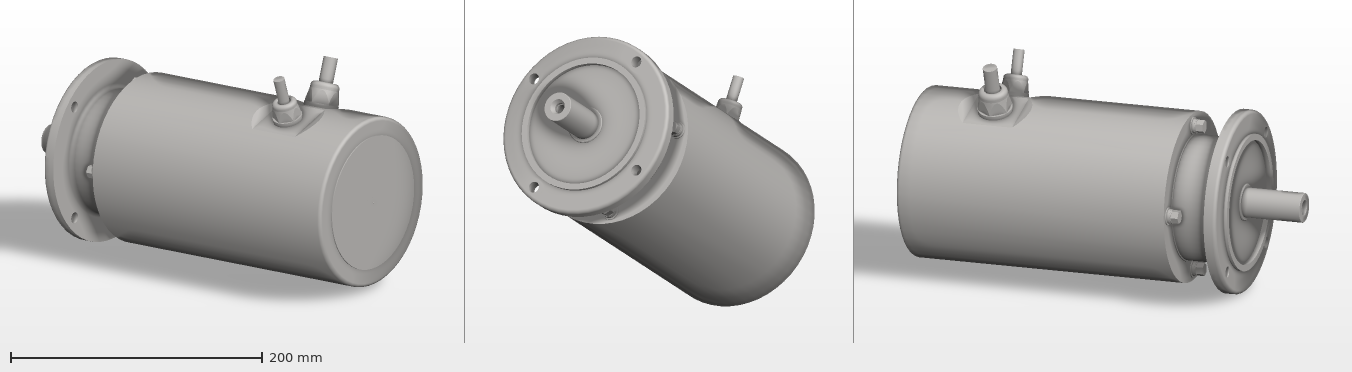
import cadquery as cq
import math


SHAFT_DIAMETER = 24.0
SHAFT_CHAMFER = 0.3
SHAFT_HOLE_DIAMETER = 7.0
SHAFT_HOLE_DEPTH = 19.5
DRILL_POINT_ANGLE = 118.0
COUNTERSINK_DIAMETER = 12.5
COUNTERSINK_ANGLE = 60.0
COUNTERBORE_DIAMETER = 8.5
COUNTERBORE_END = 6.5

SPIGOT_START = 46.0
SPIGOT_DIAMETER = 110.0
SPIGOT_RECESS_DIAMETER = 100.0
SPIGOT_RECESS_DEPTH = 4.2
COLLAR_DIAMETER = 30.0
COLLAR_HEIGHT = 1.3
COLLAR_CHAMFER = 0.5
FLANGE_START = 48.8
FLANGE_END = 58.8
FLANGE_DIAMETER = 148.0
FLANGE_EDGE_ROUND = 3.0
BOLT_HOLE_DIAMETER = 9.0
BOLT_CIRCLE_RADIUS = 64.5
BOLT_COUNT = 4

NECK_DIAMETER = 101.0
NECK_FILLET = 3.5

FRONT_RING_START = 93.5
FRONT_RING_DIAMETER = 103.5
HOUSING_START = 94.3
HOUSING_END = 321.0
HOUSING_DIAMETER = 138.0
HOUSING_REAR_ROUND = 3.0
REAR_PLATE_END = 322.0
REAR_PLATE_DIAMETER = 109.0
REAR_PIN_DIAMETER = 1.3
MOTOR_END = 323.0

SCREW_COUNT = 4
SCREW_CIRCLE_RADIUS = 59.0
SCREW_HEAD_START = 84.3
SCREW_HEAD_CORNERS = 11.0
SCREW_COLLAR_START = 90.0
SCREW_COLLAR_DIAMETER = 11.0
SCREW_FLANGE_START = 91.0
SCREW_FLANGE_DIAMETER = 11.5
WASHER_START = 93.5
WASHER_DIAMETER = 14.2

FLAT_CENTRE_X = 253.5
FLAT_TILT = 19.1
FLAT_SIZE = 42.0
FLAT_END_SLOPE = 20.0
CUTTER_CLEARANCE = 3.2

GLAND_BASE_HEIGHT = 3.5
GLAND_MOUTH_DEPTH = 3.2

housing_radius = HOUSING_DIAMETER / 2
flat_distance = math.sqrt(housing_radius**2 - (FLAT_SIZE / 2) ** 2)


def disc(start, end, diameter):
    """Cylinder on the X axis between two X positions."""
    return cq.Workplane("YZ", origin=(start, 0, 0)).circle(diameter / 2).extrude(end - start)


def around_axis(shape, count, first_angle=0.0):
    """Copies of a shape, evenly spaced about the X axis."""
    step = 360.0 / count
    return [shape.rotate((0, 0, 0), (1, 0, 0), first_angle + i * step) for i in range(count)]


def make_neck():
    """Neck whose front end flares out to the flange in a fillet."""
    radius = NECK_DIAMETER / 2
    round_inset = NECK_FILLET * (1 - math.sqrt(0.5))
    return (
        cq.Workplane("XY")
        .moveTo(FLANGE_END, 0)
        .lineTo(FLANGE_END, radius + NECK_FILLET)
        .threePointArc(
            (FLANGE_END + round_inset, radius + round_inset),
            (FLANGE_END + NECK_FILLET, radius),
        )
        .lineTo(HOUSING_START, radius)
        .lineTo(HOUSING_START, 0)
        .close()
        .revolve(360, (0, 0, 0), (1, 0, 0))
    )


def make_flange():
    """Flange with bolt holes, hollow spigot, raised collar around the shaft, and neck."""
    flange = disc(FLANGE_START, FLANGE_END, FLANGE_DIAMETER).faces("<X").edges().fillet(FLANGE_EDGE_ROUND)
    spigot = disc(SPIGOT_START, FLANGE_START, SPIGOT_DIAMETER)
    flange = flange.union(spigot).union(make_neck())
    recess_floor = SPIGOT_START + SPIGOT_RECESS_DEPTH
    flange = flange.cut(disc(SPIGOT_START, recess_floor, SPIGOT_RECESS_DIAMETER))
    collar = disc(recess_floor - COLLAR_HEIGHT, recess_floor, COLLAR_DIAMETER)
    flange = flange.union(collar.faces("<X").edges().chamfer(COLLAR_CHAMFER))
    bolt_hole = disc(FLANGE_START, FLANGE_END, BOLT_HOLE_DIAMETER).translate((0, 0, BOLT_CIRCLE_RADIUS))
    for hole in around_axis(bolt_hole, BOLT_COUNT, 180.0 / BOLT_COUNT):
        flange = flange.cut(hole)
    return flange


def make_shaft():
    """Drive shaft with a countersunk and counterbored centre hole."""
    shaft = disc(0, FLANGE_END, SHAFT_DIAMETER).faces("<X").edges().chamfer(SHAFT_CHAMFER)
    hole_radius = SHAFT_HOLE_DIAMETER / 2
    mouth_radius = COUNTERSINK_DIAMETER / 2
    bore_radius = COUNTERBORE_DIAMETER / 2
    countersink_depth = (mouth_radius - bore_radius) / math.tan(math.radians(COUNTERSINK_ANGLE / 2))
    point_depth = hole_radius / math.tan(math.radians(DRILL_POINT_ANGLE / 2))
    hole = (
        cq.Workplane("XY")
        .polyline([
            (0, 0),
            (0, mouth_radius),
            (countersink_depth, bore_radius),
            (COUNTERBORE_END, bore_radius),
            (COUNTERBORE_END, hole_radius),
            (SHAFT_HOLE_DEPTH, hole_radius),
            (SHAFT_HOLE_DEPTH + point_depth, 0),
        ])
        .close()
        .revolve(360, (0, 0, 0), (1, 0, 0))
    )
    return shaft.cut(hole)


def on_flat(shape, tilt):
    """Move a shape built upright on the XY plane onto the flat at the given tilt."""
    return shape.translate((FLAT_CENTRE_X, 0, flat_distance)).rotate((0, 0, 0), (1, 0, 0), tilt)


def make_flat_cutter():
    """Pocket with a square floor and end walls that slope outwards."""
    height = housing_radius - flat_distance + CUTTER_CLEARANCE
    spread = height / math.tan(math.radians(FLAT_END_SLOPE))
    half = FLAT_SIZE / 2
    return (
        cq.Workplane("XZ")
        .polyline([(-half, 0), (half, 0), (half + spread, height), (-half - spread, height)])
        .close()
        .extrude(half, both=True)
    )


def make_housing():
    """Cylindrical housing with two milled flats, front ring, rear plate and rear pin."""
    housing = disc(HOUSING_START, HOUSING_END, HOUSING_DIAMETER)
    housing = housing.faces(">X").edges().fillet(HOUSING_REAR_ROUND)
    for tilt in (FLAT_TILT, -FLAT_TILT):
        housing = housing.cut(on_flat(make_flat_cutter(), tilt))
    housing = housing.union(disc(FRONT_RING_START, HOUSING_START, FRONT_RING_DIAMETER))
    housing = housing.union(disc(HOUSING_END, REAR_PLATE_END, REAR_PLATE_DIAMETER))
    return housing.union(disc(REAR_PLATE_END, MOTOR_END, REAR_PIN_DIAMETER))


def make_screw():
    """Hexagon screw with flange and washer, two of its head corners in the radial direction."""
    head = (
        cq.Workplane("YZ", origin=(SCREW_HEAD_START, 0, 0))
        .polygon(6, SCREW_HEAD_CORNERS)
        .extrude(SCREW_COLLAR_START - SCREW_HEAD_START)
        .rotate((0, 0, 0), (1, 0, 0), 90)
    )
    collar = disc(SCREW_COLLAR_START, SCREW_FLANGE_START, SCREW_COLLAR_DIAMETER)
    flange = disc(SCREW_FLANGE_START, WASHER_START, SCREW_FLANGE_DIAMETER)
    washer = disc(WASHER_START, HOUSING_START, WASHER_DIAMETER)
    return head.union(collar).union(flange).union(washer).translate((0, 0, SCREW_CIRCLE_RADIUS))


def make_motor():
    """Housing, flange, shaft and screws as one solid."""
    motor = make_housing().union(make_flange()).union(make_shaft())
    for screw in around_axis(make_screw(), SCREW_COUNT):
        motor = motor.union(screw)
    return motor


def make_gland(tilt, base_diameter, cap_diameter, rim_diameter, mouth_diameter, hexagon_flats,
               height, cone_height, cable_diameter, cable_end):
    """Cable gland with a hexagon cut into its cone, and the cable end that leaves its mouth.

    The rim is rounded about a circle of rim_diameter, and the mouth is recessed inside it.
    """
    base_radius = base_diameter / 2
    cap_radius = cap_diameter / 2
    mouth_radius = mouth_diameter / 2
    rim_round = (cap_diameter - rim_diameter) / 2
    rim_centre_height = height - rim_round
    mouth_edge_height = rim_centre_height + math.sqrt(rim_round**2 - (rim_diameter / 2 - mouth_radius) ** 2)
    mouth_floor = height - GLAND_MOUTH_DEPTH
    body = (
        cq.Workplane("XZ")
        .lineTo(base_radius, 0)
        .lineTo(base_radius, GLAND_BASE_HEIGHT)
        .lineTo(cap_radius, cone_height)
        .lineTo(cap_radius, rim_centre_height)
        .threePointArc((rim_diameter / 2, height), (mouth_radius, mouth_edge_height))
        .lineTo(mouth_radius, mouth_floor)
        .lineTo(0, mouth_floor)
        .close()
        .revolve(360, (0, 0, 0), (0, 1, 0))
    )
    hexagon = (
        cq.Workplane("XY", origin=(0, 0, GLAND_BASE_HEIGHT))
        .polygon(6, hexagon_flats / math.cos(math.radians(30)))
        .extrude(height)
        .rotate((0, 0, 0), (0, 0, 1), 90)
    )
    base = cq.Workplane("XY").circle(base_radius).extrude(GLAND_BASE_HEIGHT)
    body = body.intersect(hexagon.union(base))
    cable = cq.Workplane("XY").circle(cable_diameter / 2).extrude(cable_end)
    return on_flat(body.union(cable), tilt)


motor = make_motor()
power_gland = make_gland(
    tilt=-FLAT_TILT, base_diameter=28.0, cap_diameter=23.5, rim_diameter=16.0, mouth_diameter=14.2,
    hexagon_flats=24.0, height=21.0, cone_height=15.2, cable_diameter=11.5, cable_end=41.5,
)
signal_gland = make_gland(
    tilt=FLAT_TILT, base_diameter=24.0, cap_diameter=20.0, rim_diameter=14.2, mouth_diameter=11.0,
    hexagon_flats=20.5, height=17.8, cone_height=13.2, cable_diameter=9.0, cable_end=38.0,
)

result = cq.Compound.makeCompound([motor.val(), power_gland.val(), signal_gland.val()])